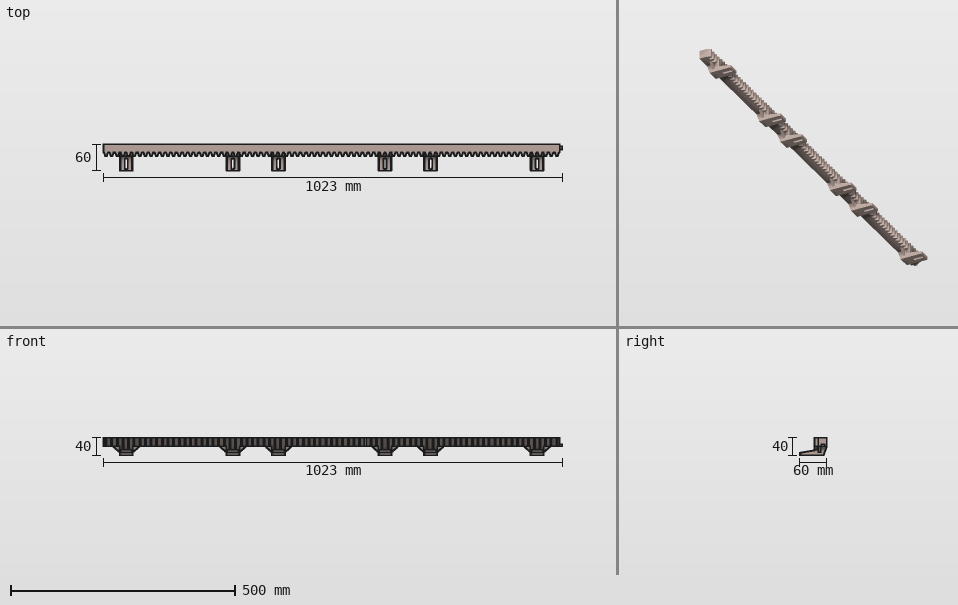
import cadquery as cq
import math


overall_length = 1022.98
overall_depth = 60.0
overall_height = 39.95

module = 4.0
pressure_angle = math.radians(20)
tooth_count = 81
pitch = math.pi * module
rack_length = tooth_count * pitch
rack_height = 20.0
root_depth = 18.8
tip_depth = 27.5
pitch_line_depth = tip_depth - module
root_fillet = 1.2
first_space_x = -0.65

core_length = overall_length
core_width = 8.0
core_height = 5.0
core_depth = 4.5

section_count = 3
section_length = rack_length / section_count
bracket_spacing = 237.7
bracket_width = 30.0
heel_setback = 7.0
foot_corner_radius = 3.0
tooth_space_drop = 27.2
rib_width = 2.5
rib_top_drop = 28.4
floor_drop = 33.8

gusset_back_depth = 13.5
gusset_front_depth = 18.8
gusset_half_length = 29.5
gusset_bottom_drop = 33.0

slot_width = 6.5
slot_back_depth = 32.0
slot_front_depth = 56.5


def y_at(depth):
    """Y coordinate of a point at the given depth in front of the back face."""
    return overall_depth - depth


def rack_blank():
    """Rectangular bar that encloses the rack and its teeth."""
    bar = cq.Workplane("XY").box(rack_length, tip_depth, rack_height, centered=False)
    return bar.translate((0, y_at(tip_depth), -rack_height))


def tooth_space(x):
    """Tapered gap between two teeth, rounded at the root and reaching into the brackets."""

    def half_width(depth):
        return pitch / 4 + (depth - pitch_line_depth) * math.tan(pressure_angle)

    outline = [
        (x - half_width(root_depth), y_at(root_depth)),
        (x + half_width(root_depth), y_at(root_depth)),
        (x + half_width(tip_depth), y_at(tip_depth)),
        (x - half_width(tip_depth), y_at(tip_depth)),
    ]
    gap = cq.Workplane("XY").polyline(outline).close().extrude(-tooth_space_drop)
    return gap.edges("|Z and >Y").fillet(root_fillet)


def bracket_body(x):
    """Block under the rack with a forward foot whose top slopes down to the front."""
    profile = [
        (y_at(0), -rack_height),
        (y_at(tip_depth), -rack_height),
        (y_at(tip_depth), -rib_top_drop),
        (0, -floor_drop),
        (0, -overall_height),
        (y_at(heel_setback), -overall_height),
    ]
    body = cq.Workplane("YZ", origin=(x, 0, 0)).polyline(profile).close()
    body = body.extrude(bracket_width / 2, both=True)
    return body.edges("|Z and <Y").fillet(foot_corner_radius)


def gusset(x):
    """Upright plate that widens from the foot up to the underside of the rack."""
    half_foot = bracket_width / 2
    outline = [
        (-gusset_half_length, -rack_height),
        (gusset_half_length, -rack_height),
        (half_foot, -gusset_bottom_drop),
        (-half_foot, -gusset_bottom_drop),
    ]
    plate = cq.Workplane("XZ", origin=(x, y_at(gusset_back_depth), 0)).polyline(outline).close()
    return plate.extrude(gusset_front_depth - gusset_back_depth)


def foot_pocket(x):
    """Recess in the top of the foot that leaves a sloping rib along each side."""
    pocket = cq.Workplane("XY").box(
        bracket_width - 2 * rib_width,
        y_at(tip_depth),
        floor_drop - rack_height,
        centered=(True, False, False),
    )
    return pocket.translate((x, 0, -floor_drop))


def screw_slot(x):
    """Round-ended slot through the floor of the foot."""
    middle_y = y_at((slot_back_depth + slot_front_depth) / 2)
    slot_length = slot_front_depth - slot_back_depth
    slot = cq.Workplane("XY").center(x, middle_y).slot2D(slot_length, slot_width, 90)
    return slot.extrude(-overall_height)


def bracket(x):
    """Complete bracket centred on x."""
    solid = bracket_body(x).union(gusset(x))
    return solid.cut(foot_pocket(x)).cut(screw_slot(x))


def core_bar():
    """Straight bar along the bottom of the rack."""
    bar = cq.Workplane("XY").box(core_length, core_width, core_height, centered=False)
    return bar.translate((0, y_at(core_depth + core_width), -rack_height))


def toothed_rack():
    """Rack with its brackets, tooth spaces and channel for the core bar."""
    brackets = []
    for section in range(section_count):
        section_middle = (section + 0.5) * section_length
        for side in (-1, 1):
            brackets.append(bracket(section_middle + side * bracket_spacing / 2).val())
    spaces = [tooth_space(first_space_x + i * pitch).val() for i in range(tooth_count + 1)]
    solid = rack_blank().val().fuse(*brackets).cut(*spaces).clean()
    return cq.Workplane(solid).cut(core_bar())


rack = toothed_rack().solids()
core = core_bar()

result = cq.Compound.makeCompound([rack.val(), core.val()])